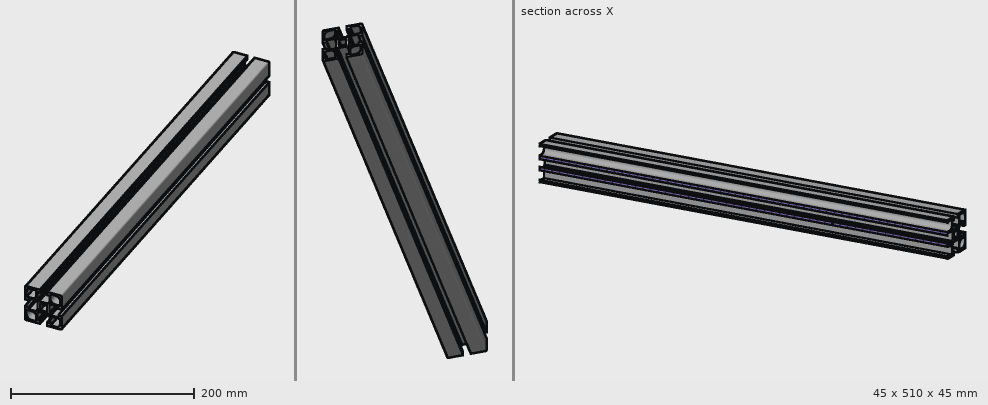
import cadquery as cq
import math

LENGTH = 510.0
SIDE = 45.0
OUTER_RADIUS = 2.0

SLOT_OPENING = 8.5
SLOT_CAVITY_WIDTH = 14.5
LIP_THICKNESS = 4.35

CORE_SIDE = 14.5
CORE_BORE_SIDE = 8.0
WEB_THICKNESS = 2.5

OUTER_WALL = 2.0
INNER_WALL = 1.65
OUTER_CHAMBER_RADIUS = 5.0
INNER_CHAMBER_RADIUS = 4.5

half_side = SIDE / 2
tube_inner = SLOT_CAVITY_WIDTH / 2
tube_centre = (half_side + tube_inner) / 2
chamber_inner = tube_inner + INNER_WALL
chamber_outer = half_side - OUTER_WALL
chamber_centre = (chamber_inner + chamber_outer) / 2

tube_side = half_side - tube_inner
chamber_side = chamber_outer - chamber_inner
core_wall = (CORE_SIDE - CORE_BORE_SIDE) / 2
lip_length = tube_inner - SLOT_OPENING / 2


def bar(width, height, x=0.0, z=0.0):
    """Full-length rectangular bar centred on (x, z), running along Y."""
    return cq.Workplane("XY").box(width, LENGTH, height).translate((x, 0, z))


def turn(body, angle):
    """Turn body about the lengthwise axis."""
    return body.rotate((0, 0, 0), (0, 1, 0), angle)


def round_edge(body, diagonal, radius):
    """Fillet the lengthwise edge of body at x = z = diagonal."""
    edge = cq.selectors.NearestToPointSelector((diagonal, 0, diagonal))
    return body.edges(edge).fillet(radius)


def corner_tube():
    """Hollow corner tube with its two slot lips, in the +X +Z quadrant."""
    lip_across = tube_inner - lip_length / 2
    lip_level = half_side - LIP_THICKNESS / 2
    tube = bar(tube_side, tube_side, tube_centre, tube_centre)
    tube = tube.union(bar(lip_length, LIP_THICKNESS, lip_across, lip_level))
    tube = tube.union(bar(LIP_THICKNESS, lip_length, lip_level, lip_across))
    tube = round_edge(tube, half_side, OUTER_RADIUS)

    chamber = bar(chamber_side, chamber_side, chamber_centre, chamber_centre)
    chamber = round_edge(chamber, chamber_inner, INNER_CHAMBER_RADIUS)
    chamber = round_edge(chamber, chamber_outer, OUTER_CHAMBER_RADIUS)
    return tube.cut(chamber)


def diagonal_web():
    """Web at 45 degrees from the core wall to the chamber corner."""
    start = (CORE_SIDE - core_wall) / 2
    end = chamber_inner
    middle = (start + end) / 2
    web = bar((end - start) * math.sqrt(2), WEB_THICKNESS)
    return turn(web, -45).translate((middle, 0, middle))


result = bar(CORE_SIDE, CORE_SIDE).cut(bar(CORE_BORE_SIDE, CORE_BORE_SIDE))
corner = corner_tube().union(diagonal_web())
for quarter in range(4):
    result = result.union(turn(corner, 90 * quarter))